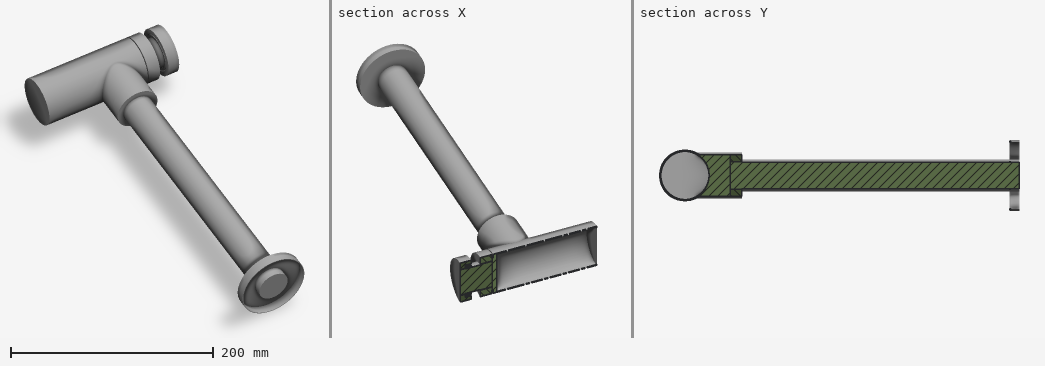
import cadquery as cq

trap_diameter = 50.0
trap_radius = trap_diameter / 2
trap_length = 111.5
trap_wall = 1.5
trap_floor = 1.0
trap_roof = 4.0
branch_diameter = 45.0
branch_end_x = 44.7
branch_axis_y = 82.0

shoulder_diameter = 41.5
shoulder_gap = 1.0
lower_nut_length = 12.8
exposed_inlet_length = 9.5
upper_nut_length = 12.0
inlet_diameter = 32.0
seal_outer_diameter = 38.0
seal_inner_diameter = 32.5
upper_nut_bore = 40.0
seal_depth = 6.0

outlet_nut_length = 11.7
pipe_diameter = 32.0
overall_length = 355.0
flange_diameter = 70.0
flange_thickness = 10.0
flange_rim = 0.7
flange_face = 1.0

trap_bottom_y = -branch_axis_y
trap_top_y = trap_bottom_y + trap_length
lower_nut_y = trap_top_y + shoulder_gap
upper_nut_y = lower_nut_y + lower_nut_length + exposed_inlet_length
stack_top_y = upper_nut_y + upper_nut_length

wall_x = overall_length - trap_radius
flange_x = wall_x - flange_thickness


def cylinder_along_x(diameter, start, length):
    return cq.Workplane("YZ", origin=(start, 0, 0)).circle(diameter / 2).extrude(length)


def cylinder_along_y(diameter, start, length):
    return cq.Workplane("XZ", origin=(0, start, 0)).circle(diameter / 2).extrude(-length)


def make_trap_body():
    barrel = cylinder_along_y(trap_diameter, trap_bottom_y, trap_length)
    branch = cylinder_along_x(branch_diameter, 0, branch_end_x)
    shoulder = cylinder_along_y(shoulder_diameter, trap_top_y, shoulder_gap)
    cavity = cylinder_along_y(
        trap_diameter - 2 * trap_wall, trap_bottom_y + trap_floor, trap_length - trap_floor - trap_roof
    )
    return barrel.union(branch).union(shoulder).cut(cavity)


def make_inlet_nut(start, length):
    nut = cylinder_along_y(trap_diameter, start, length)
    return nut.cut(cylinder_along_y(inlet_diameter, start, length))


def make_upper_nut():
    nut = make_inlet_nut(upper_nut_y, upper_nut_length)
    return nut.cut(cylinder_along_y(upper_nut_bore, upper_nut_y, seal_depth))


def make_upper_seal():
    seal = cylinder_along_y(seal_outer_diameter, upper_nut_y, seal_depth)
    return seal.cut(cylinder_along_y(seal_inner_diameter, upper_nut_y, seal_depth))


def make_inlet_tube():
    return cylinder_along_y(inlet_diameter, lower_nut_y, stack_top_y - lower_nut_y)


def make_outlet_nut():
    nut = cylinder_along_x(branch_diameter, branch_end_x, outlet_nut_length)
    return nut.cut(cylinder_along_x(pipe_diameter, branch_end_x, outlet_nut_length))


def make_outlet_pipe():
    return cylinder_along_x(pipe_diameter, branch_end_x, wall_x - branch_end_x)


def make_wall_flange():
    flange = cylinder_along_x(flange_diameter, flange_x, flange_thickness)
    hollow_back = cylinder_along_x(
        flange_diameter - 2 * flange_rim, flange_x + flange_face, flange_thickness - flange_face
    )
    pipe_hole = cylinder_along_x(pipe_diameter, flange_x, flange_thickness)
    return flange.cut(hollow_back).cut(pipe_hole)


trap_body = make_trap_body()
lower_nut = make_inlet_nut(lower_nut_y, lower_nut_length)
upper_nut = make_upper_nut()
upper_seal = make_upper_seal()
inlet_tube = make_inlet_tube()
outlet_nut = make_outlet_nut()
outlet_pipe = make_outlet_pipe()
wall_flange = make_wall_flange()

result = cq.Compound.makeCompound([
    trap_body.val(),
    lower_nut.val(),
    upper_nut.val(),
    upper_seal.val(),
    inlet_tube.val(),
    outlet_nut.val(),
    outlet_pipe.val(),
    wall_flange.val(),
])